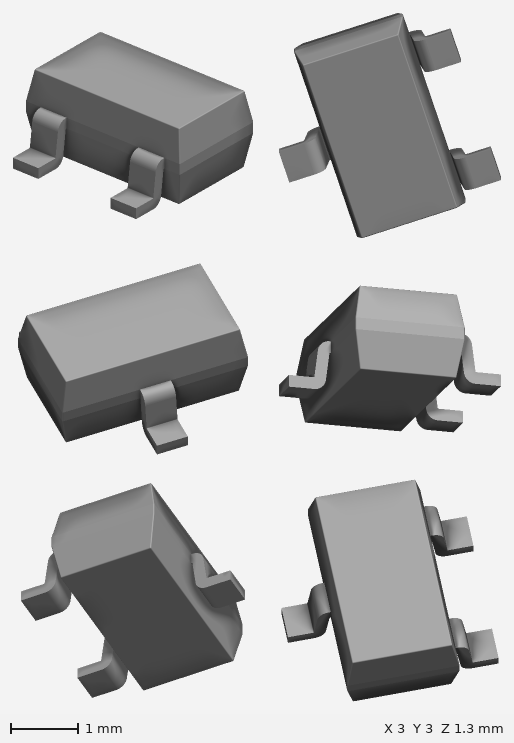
import cadquery as cq
import math

body_length = 3.0
body_width = 1.7
body_height = 1.3
belt_bottom = 0.582
draft_angle = 10.0
edge_radius = 0.018

lead_thickness = 0.183
lead_width = 0.498
lead_span = 3.0
lead_offset = 0.95
foot_length = 0.393
leg_angle = 7.5
outer_bend_radius = 0.18
inner_bend_radius = 0.012
lead_embed = 0.12

belt_top = belt_bottom + lead_thickness


def body_section(base, height, taper=0.0):
    """A slab of the body outline from Z = base, downward if height is negative."""
    outline = cq.Workplane("XY").workplane(offset=base).rect(body_length, body_width)
    return outline.extrude(height, taper=taper)


def make_body():
    belt = body_section(belt_bottom, lead_thickness)
    upper = body_section(belt_top, body_height - belt_top, draft_angle)
    lower = body_section(belt_bottom, -belt_bottom, draft_angle)
    body = belt.union(upper).union(lower)
    corners = body.edges("not #Z")
    rims = body.faces("<Z or >Z").edges()
    return body.newObject(corners.vals() + rims.vals()).fillet(edge_radius)


def make_lead():
    """One lead pointing toward -Y, centred on X = 0."""
    toe = lead_span / 2
    root = body_width / 2 - lead_embed
    slope = math.tan(math.radians(leg_angle))
    leg_depth = lead_thickness / math.cos(math.radians(leg_angle))
    heel = toe - foot_length

    def outer_face(z):
        return heel - (z - lead_thickness) * slope

    def inner_face(z):
        return outer_face(z) - leg_depth

    outline = [
        (-toe, 0),
        (-toe, lead_thickness),
        (-outer_face(lead_thickness), lead_thickness),
        (-outer_face(belt_top), belt_top),
        (-root, belt_top),
        (-root, belt_bottom),
        (-inner_face(belt_bottom), belt_bottom),
        (-inner_face(0), 0),
    ]
    lead = (
        cq.Workplane("YZ")
        .polyline(outline)
        .close()
        .extrude(lead_width / 2, both=True)
    )

    def bend(solid, y, z, radius):
        """Round the edge along X at depth -y and height z."""
        edge = cq.selectors.NearestToPointSelector((0, -y, z))
        return solid.edges("|X").edges(edge).fillet(radius)

    lead = bend(lead, outer_face(belt_top), belt_top, outer_bend_radius)
    lead = bend(lead, inner_face(0), 0, outer_bend_radius)
    lead = bend(lead, outer_face(lead_thickness), lead_thickness, inner_bend_radius)
    return bend(lead, inner_face(belt_bottom), belt_bottom, inner_bend_radius)


result = make_body()
front_lead = make_lead()
for x in (-lead_offset, lead_offset):
    result = result.union(front_lead.translate((x, 0, 0)))
result = result.union(front_lead.rotate((0, 0, 0), (0, 0, 1), 180))